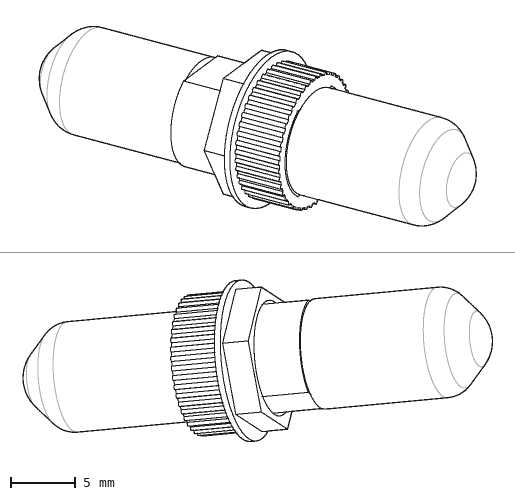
import cadquery as cq
import math

cap_length = 14.05
cap_radius = 4.3
shoulder_radius = 2.1
nose_radius = 3.07
cone_angle = math.radians(45)

total_length = 38.4
barrel_radius = 4.5
flat_distance = 7.37

nut_thickness = 2.1
nut_across_flats = 10.0
washer_thickness = 0.5
washer_radius = 6.25

ring_length = 3.9
ridge_radius = 0.2
ring_outer_radius = 5.5
ridge_count = 45

barrel_start = cap_length - total_length / 2
barrel_end = -barrel_start
barrel_length = barrel_end - barrel_start
ring_start = barrel_end - ring_length
washer_start = ring_start - washer_thickness
nut_start = washer_start - nut_thickness


def plane_at(x):
    """Sketch plane across the axis, extruding toward +X, with local x along +Y."""
    return cq.Workplane("YZ", origin=(x, 0, 0))


def barrel_bar(start, length):
    """Round bar with flats facing +Z and -Z."""
    bar = plane_at(start).circle(barrel_radius).extrude(length)
    flats = plane_at(start).rect(2 * barrel_radius, flat_distance).extrude(length)
    return bar.intersect(flats)


def make_cap():
    """Cap on the -X end: half its section revolved about the X axis."""
    tip = -total_length / 2

    def nose_point(angle):
        return (tip + nose_radius * (1 - math.cos(angle)), nose_radius * math.sin(angle))

    cone_start = nose_point(cone_angle)
    cone_end_radius = cap_radius - shoulder_radius * (1 - math.cos(cone_angle))
    cone_length = (cone_end_radius - cone_start[1]) / math.tan(cone_angle)
    shoulder_end = cone_start[0] + cone_length + shoulder_radius * math.sin(cone_angle)

    def shoulder_point(angle):
        return (
            shoulder_end - shoulder_radius * math.sin(angle),
            cap_radius - shoulder_radius * (1 - math.cos(angle)),
        )

    return (
        cq.Workplane("XY")
        .moveTo(tip, 0)
        .threePointArc(nose_point(cone_angle / 2), cone_start)
        .lineTo(*shoulder_point(cone_angle))
        .threePointArc(shoulder_point(cone_angle / 2), (shoulder_end, cap_radius))
        .lineTo(barrel_start, cap_radius)
        .lineTo(barrel_start, 0)
        .close()
        .revolve(360, (0, 0, 0), (1, 0, 0))
    )


def make_nut():
    """Hexagon nut with two corners on the Y axis."""
    across_corners = nut_across_flats / math.cos(math.pi / 6)
    return (
        plane_at(nut_start)
        .polygon(6, across_corners)
        .circle(barrel_radius)
        .extrude(nut_thickness)
    )


def make_washer():
    """Flat round washer between the nut and the knurled ring."""
    return plane_at(washer_start).circle(washer_radius).circle(barrel_radius).extrude(washer_thickness)


def make_knurled_ring():
    """Ring keyed onto the barrel flats, with half-round ridges around its rim, the first at +Y."""
    base_radius = ring_outer_radius - ridge_radius
    base = plane_at(ring_start).circle(base_radius).extrude(ring_length)
    ridges = (
        plane_at(ring_start)
        .polarArray(base_radius, 0, 360, ridge_count)
        .circle(ridge_radius)
        .extrude(ring_length)
    )
    return base.union(ridges).cut(barrel_bar(ring_start, ring_length))


barrel = barrel_bar(barrel_start, barrel_length)
nut = make_nut()
washer = make_washer()
knurled_ring = make_knurled_ring()
caps = [make_cap().rotate((0, 0, 0), (0, 0, 1), turn) for turn in (0, 180)]

result = cq.Compound.makeCompound(
    [
        barrel.val(),
        nut.val(),
        washer.val(),
        knurled_ring.val(),
        *[cap.val() for cap in caps],
    ]
)